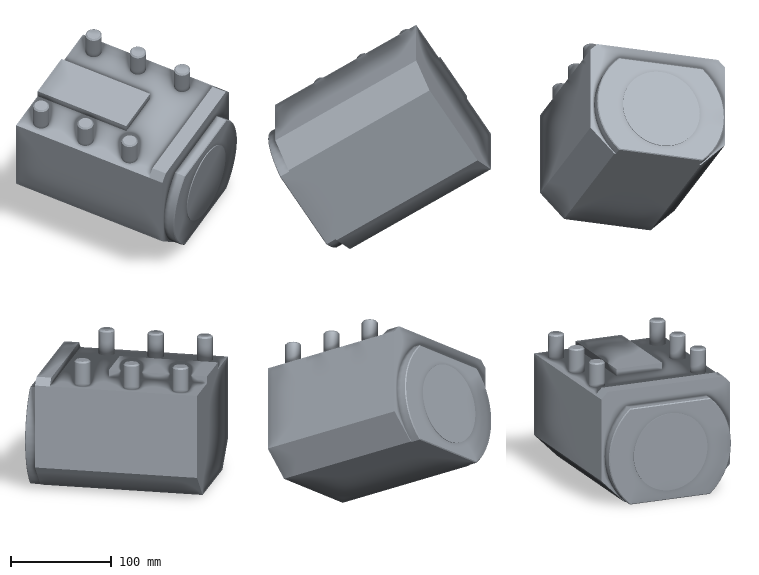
import cadquery as cq

total_length = 177
total_height = 135.0
block_width = 140.0
block_height = 110.0
bottom_chamfer = 25.0

flange_diameter = 132.5
flange_height = 100.0
flange_thickness = 11.2
flange_chamfer = 0.9
disc_diameter = 80.0
disc_thickness = 0.9
block_length = total_length - flange_thickness - disc_thickness

raised_height = 7
key_length = 100.0
key_width = 50.0
rib_thickness = 15.0

pin_diameter = 16
pin_chamfer = 1.5
first_pin_x = 20.2
pin_pitch = 50.0
pins_per_row = 3
pin_row_spacing = 110.0
pin_height = total_height - block_height


def make_block():
    block = cq.Workplane("XY").box(
        block_length, block_width, block_height, centered=(False, True, False)
    )
    return block.faces("<Z").edges("|X").chamfer(bottom_chamfer)


def make_key():
    return (
        cq.Workplane("XY", origin=(0, 0, block_height))
        .box(key_length, key_width, raised_height, centered=(False, True, False))
    )


def make_rib():
    """Full-width rib whose ends slope at 45 degrees from the block edges."""
    half_base = block_width / 2
    half_top = half_base - raised_height
    rib_top = block_height + raised_height
    return (
        cq.Workplane("YZ", origin=(block_length - rib_thickness, 0, 0))
        .moveTo(-half_base, block_height)
        .lineTo(half_base, block_height)
        .lineTo(half_top, rib_top)
        .lineTo(-half_top, rib_top)
        .close()
        .extrude(rib_thickness)
    )


def make_flange():
    center = (block_length, 0, flange_height / 2)
    round_plate = cq.Workplane("YZ", origin=center).circle(flange_diameter / 2).extrude(flange_thickness)
    flat_limits = cq.Workplane("YZ", origin=center).rect(flange_diameter, flange_height).extrude(flange_thickness)
    flange = round_plate.intersect(flat_limits).faces(">X").chamfer(flange_chamfer)
    disc = (
        cq.Workplane("YZ", origin=center)
        .circle(disc_diameter / 2)
        .extrude(flange_thickness + disc_thickness)
    )
    return flange.union(disc)


def make_pins():
    positions = [
        (first_pin_x + column * pin_pitch, side * pin_row_spacing / 2)
        for column in range(pins_per_row)
        for side in (-1, 1)
    ]
    return (
        cq.Workplane("XY", origin=(0, 0, block_height))
        .pushPoints(positions)
        .circle(pin_diameter / 2)
        .extrude(pin_height)
        .faces(">Z")
        .chamfer(pin_chamfer)
    )


result = (
    make_block()
    .union(make_key())
    .union(make_rib())
    .union(make_flange())
    .union(make_pins())
)